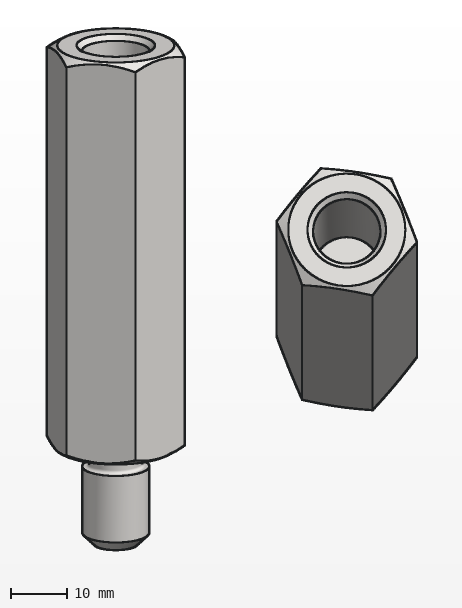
import cadquery as cq
import math

HEX_SIDES = 6
CORNER_TO_Y_AXIS = 90.0
ACROSS_FLATS = 22.0
BODY_LENGTH = 75.0
FACE_DIAMETER = 0.95 * ACROSS_FLATS
CORNER_ANGLE = 30.0

THREAD_DIAMETER = 12.0
STUD_LENGTH = 18.0
TIP_CHAMFER = 2.1

NECK_DIAMETER = 9.4
NECK_LENGTH = 3.5
NECK_FILLET = 0.6

HOLE_DEPTH = 25.0
COUNTERSINK_DIAMETER = 14.0
COUNTERSINK_DEPTH = (COUNTERSINK_DIAMETER - THREAD_DIAMETER) / 2


def make_body():
    """Hexagonal bar with corners on the Y axis and conical chamfers on both ends."""
    across_corners = ACROSS_FLATS / math.cos(math.pi / HEX_SIDES)
    corner_radius = across_corners / 2
    face_radius = FACE_DIAMETER / 2
    corner_drop = (corner_radius - face_radius) * math.tan(math.radians(CORNER_ANGLE))

    hexagon = (
        cq.Workplane("XY")
        .polygon(HEX_SIDES, across_corners)
        .extrude(BODY_LENGTH)
        .rotate((0, 0, 0), (0, 0, 1), CORNER_TO_Y_AXIS)
    )
    chamfer_envelope = (
        cq.Workplane("XZ")
        .moveTo(0, 0)
        .lineTo(face_radius, 0)
        .lineTo(corner_radius, corner_drop)
        .lineTo(corner_radius, BODY_LENGTH - corner_drop)
        .lineTo(face_radius, BODY_LENGTH)
        .lineTo(0, BODY_LENGTH)
        .close()
        .revolve()
    )
    return hexagon.intersect(chamfer_envelope)


def make_stud():
    """Turned stud with a filleted undercut at the body and a chamfered tip."""
    thread_radius = THREAD_DIAMETER / 2
    neck_radius = NECK_DIAMETER / 2
    fillet_edge_radius = neck_radius + NECK_FILLET

    return (
        cq.Workplane("XZ")
        .moveTo(0, 0)
        .lineTo(fillet_edge_radius, 0)
        .radiusArc((neck_radius, -NECK_FILLET), -NECK_FILLET)
        .lineTo(neck_radius, NECK_FILLET - NECK_LENGTH)
        .radiusArc((fillet_edge_radius, -NECK_LENGTH), -NECK_FILLET)
        .lineTo(thread_radius, -NECK_LENGTH)
        .lineTo(thread_radius, TIP_CHAMFER - STUD_LENGTH)
        .lineTo(thread_radius - TIP_CHAMFER, -STUD_LENGTH)
        .lineTo(0, -STUD_LENGTH)
        .close()
        .revolve()
    )


def make_hole():
    """Flat-bottomed cutter for the blind hole and its countersink."""
    hole_radius = THREAD_DIAMETER / 2
    return (
        cq.Workplane("XZ")
        .moveTo(0, BODY_LENGTH - HOLE_DEPTH)
        .lineTo(hole_radius, BODY_LENGTH - HOLE_DEPTH)
        .lineTo(hole_radius, BODY_LENGTH - COUNTERSINK_DEPTH)
        .lineTo(COUNTERSINK_DIAMETER / 2, BODY_LENGTH)
        .lineTo(0, BODY_LENGTH)
        .close()
        .revolve()
    )


result = make_body().union(make_stud()).cut(make_hole())